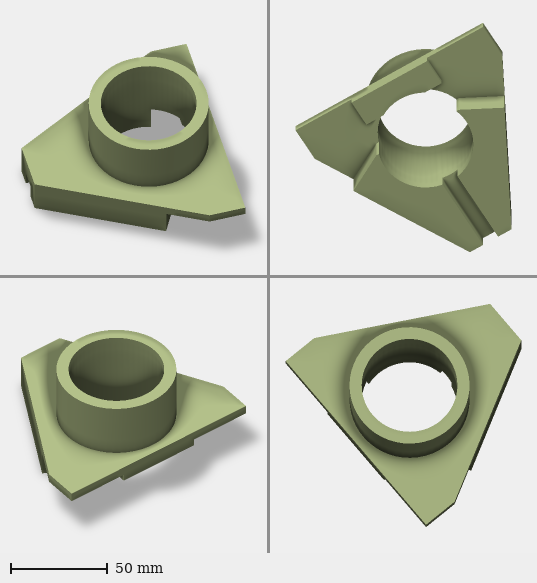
import cadquery as cq

width = 113.7
depth = 100.9
nose_width = 25.2
side_length = 19.2
plate_thickness = 5.1

total_height = 49.6
boss_diameter = 62.2
bore_diameter = 49.6
boss_from_back = 36.1

nose_height = 19.3
shoulder_from_back = 39.6
block_back_from_back = 28.3

slot_width = 9.1
slot_height = 8.3

pad_width = 45.7
pad_depth = 14.8
pad_height = 4.0

back_y = boss_from_back
front_y = back_y - depth
corner_y = back_y - side_length
boss_height = total_height - nose_height

side_slope = (width - nose_width) / 2 / (depth - side_length)


def mirrored_prism(right_points, height):
    """Extrude a left-right symmetric outline downward from Z = 0."""
    left_points = [(-x, y) for x, y in reversed(right_points)]
    return cq.Workplane("XY").polyline(right_points + left_points).close().extrude(-height)


def make_plate():
    return mirrored_prism(
        [(nose_width / 2, front_y), (width / 2, corner_y), (width / 2, back_y)],
        plate_thickness,
    )


def make_block():
    shoulder_y = back_y - shoulder_from_back
    shoulder_x = width / 2 - (corner_y - shoulder_y) * side_slope
    block_back_y = back_y - block_back_from_back
    shoulder_end_x = shoulder_x - (block_back_y - shoulder_y) / side_slope
    return mirrored_prism(
        [(nose_width / 2, front_y), (shoulder_x, shoulder_y), (shoulder_end_x, block_back_y)],
        nose_height,
    )


def make_pad():
    return (
        cq.Workplane("XY")
        .box(pad_width, pad_depth, plate_thickness + pad_height, centered=(True, False, False))
        .translate((0, back_y - pad_depth, -plate_thickness - pad_height))
    )


def make_slot():
    return (
        cq.Workplane("XY")
        .box(slot_width, depth, slot_height, centered=(True, False, False))
        .translate((0, front_y, -nose_height))
    )


def make_bore():
    return (
        cq.Workplane("XY")
        .workplane(offset=-nose_height)
        .circle(bore_diameter / 2)
        .extrude(total_height)
    )


boss = cq.Workplane("XY").circle(boss_diameter / 2).extrude(boss_height)

result = (
    make_plate()
    .union(make_block())
    .union(make_pad())
    .union(boss)
    .cut(make_slot())
    .cut(make_bore())
)